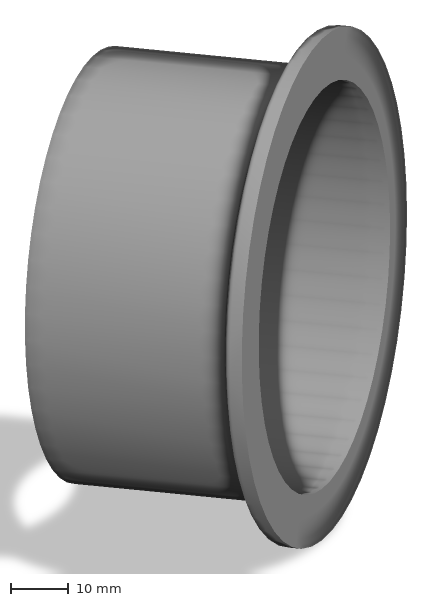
import cadquery as cq
import math

length = 42.0
bore_diameter = 72.3
tube_diameter = 76.3
flange_diameter = 91.0
rim_width = 2.8
rim_round = 0.9
slope_angle = 20.0
neck_radius = 2.0

bore_radius = bore_diameter / 2
tube_radius = tube_diameter / 2
flange_radius = flange_diameter / 2

rim_start = length - rim_width
slope_run = (flange_radius - tube_radius) * math.tan(math.radians(slope_angle))
neck_corner = rim_start - slope_run

turn = math.radians(90 - slope_angle)
neck_trim = neck_radius * math.tan(turn / 2)
rim_trim = rim_round * math.tan(turn / 2)
slope_x = math.sin(math.radians(slope_angle))
slope_r = math.cos(math.radians(slope_angle))

profile = (
    cq.Workplane("XY")
    .moveTo(0, bore_radius)
    .lineTo(0, tube_radius)
    .lineTo(neck_corner - neck_trim, tube_radius)
    .radiusArc(
        (neck_corner + neck_trim * slope_x, tube_radius + neck_trim * slope_r),
        -neck_radius,
    )
    .lineTo(rim_start - rim_trim * slope_x, flange_radius - rim_trim * slope_r)
    .radiusArc((rim_start + rim_trim, flange_radius), rim_round)
    .lineTo(length, flange_radius)
    .lineTo(length, bore_radius)
    .close()
)

result = profile.revolve(360, (0, 0, 0), (1, 0, 0))